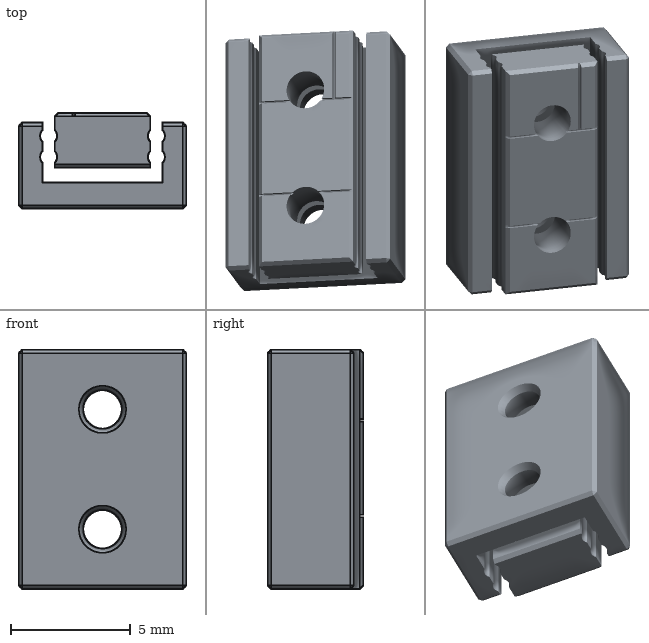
import cadquery as cq

LENGTH = 10.0
EDGE_CHAMFER = 0.15

HOUSING_WIDTH = 7.0
HOUSING_DEPTH = 3.6
FLOOR_THICKNESS = 1.1
WALL_THICKNESS = 1.0
CHANNEL_WIDTH = HOUSING_WIDTH - 2 * WALL_THICKNESS

SLIDER_GAP = 0.5
SLIDER_WIDTH = CHANNEL_WIDTH - 2 * SLIDER_GAP
SLIDER_BOTTOM = 1.7
SLIDER_TOP = 4.0
SLIDER_THICKNESS = SLIDER_TOP - SLIDER_BOTTOM

RACE_RADIUS = 0.35
RACE_X = (CHANNEL_WIDTH - SLIDER_GAP) / 2
LOWER_RACE_Y = 2.16
RACE_PITCH = 0.88

HOLE_DIAMETER = 1.6
COUNTERSINK_DIAMETER = 1.97
COUNTERSINK_DEPTH = 0.3
HOLE_PITCH = 5.0
HOLE_POSITIONS = (-HOLE_PITCH / 2, HOLE_PITCH / 2)

GROOVE_DEPTH = 0.15
CROSS_GROOVE_WIDTH = 0.09
UPPER_GROOVE_Z = 2.05
CROSS_GROOVE_PITCH = 4.0
TAPERED_GROOVE_X = -1.2
TAPERED_GROOVE_MOUTH = 0.15
TAPERED_GROOVE_FLOOR = 0.08


def block(width, y_start, depth):
    """Full-length block centred on X with its near face at y_start."""
    return (
        cq.Workplane("XY", origin=(0, y_start, 0))
        .box(width, depth, LENGTH, centered=(True, False, True))
    )


def raceways():
    """Four full-length cylinders, two on each side of the slider."""
    centres = [
        (side * RACE_X, LOWER_RACE_Y + row * RACE_PITCH)
        for side in (-1, 1)
        for row in (0, 1)
    ]
    return (
        cq.Workplane("XY", origin=(0, 0, -LENGTH / 2))
        .pushPoints(centres)
        .circle(RACE_RADIUS)
        .extrude(LENGTH)
    )


def mounting_holes():
    """Two bores along Y."""
    return (
        cq.Workplane("XZ")
        .pushPoints([(0, z) for z in HOLE_POSITIONS])
        .circle(HOLE_DIAMETER / 2)
        .extrude(-SLIDER_TOP)
    )


def countersinks():
    """Conical entries of the bores in the underside (-Y) of the housing."""
    cones = cq.Workplane("XY")
    for z in HOLE_POSITIONS:
        cone = cq.Solid.makeCone(
            COUNTERSINK_DIAMETER / 2,
            HOLE_DIAMETER / 2,
            COUNTERSINK_DEPTH,
            pnt=cq.Vector(0, 0, z),
            dir=cq.Vector(0, 1, 0),
        )
        cones = cones.add(cone)
    return cones.combine()


def cross_groove(z):
    """Shallow slot across the full width of the slider's outer face."""
    return (
        cq.Workplane("XY", origin=(0, SLIDER_TOP - GROOVE_DEPTH / 2, z))
        .box(SLIDER_WIDTH, GROOVE_DEPTH, CROSS_GROOVE_WIDTH)
    )


def tapered_groove():
    """Slot with sloping sides, from the upper cross groove to the +Z end."""
    floor_y = SLIDER_TOP - GROOVE_DEPTH
    return (
        cq.Workplane("XY", origin=(TAPERED_GROOVE_X, 0, UPPER_GROOVE_Z))
        .moveTo(-TAPERED_GROOVE_FLOOR / 2, floor_y)
        .lineTo(TAPERED_GROOVE_FLOOR / 2, floor_y)
        .lineTo(TAPERED_GROOVE_MOUTH / 2, SLIDER_TOP)
        .lineTo(-TAPERED_GROOVE_MOUTH / 2, SLIDER_TOP)
        .close()
        .extrude(LENGTH / 2 - UPPER_GROOVE_Z)
    )


def make_housing():
    body = block(HOUSING_WIDTH, 0, HOUSING_DEPTH).edges().chamfer(EDGE_CHAMFER)
    channel = block(CHANNEL_WIDTH, FLOOR_THICKNESS, HOUSING_DEPTH - FLOOR_THICKNESS)
    return body.cut(channel).cut(raceways()).cut(mounting_holes()).cut(countersinks())


def make_slider():
    body = block(SLIDER_WIDTH, SLIDER_BOTTOM, SLIDER_THICKNESS)
    body = body.faces(">Y").edges().chamfer(EDGE_CHAMFER)
    body = body.faces("<Y").edges("|X").chamfer(EDGE_CHAMFER)
    for z in (UPPER_GROOVE_Z, UPPER_GROOVE_Z - CROSS_GROOVE_PITCH):
        body = body.cut(cross_groove(z))
    return body.cut(tapered_groove()).cut(raceways()).cut(mounting_holes())


housing = make_housing()
slider = make_slider()
result = cq.Compound.makeCompound([housing.val(), slider.val()])